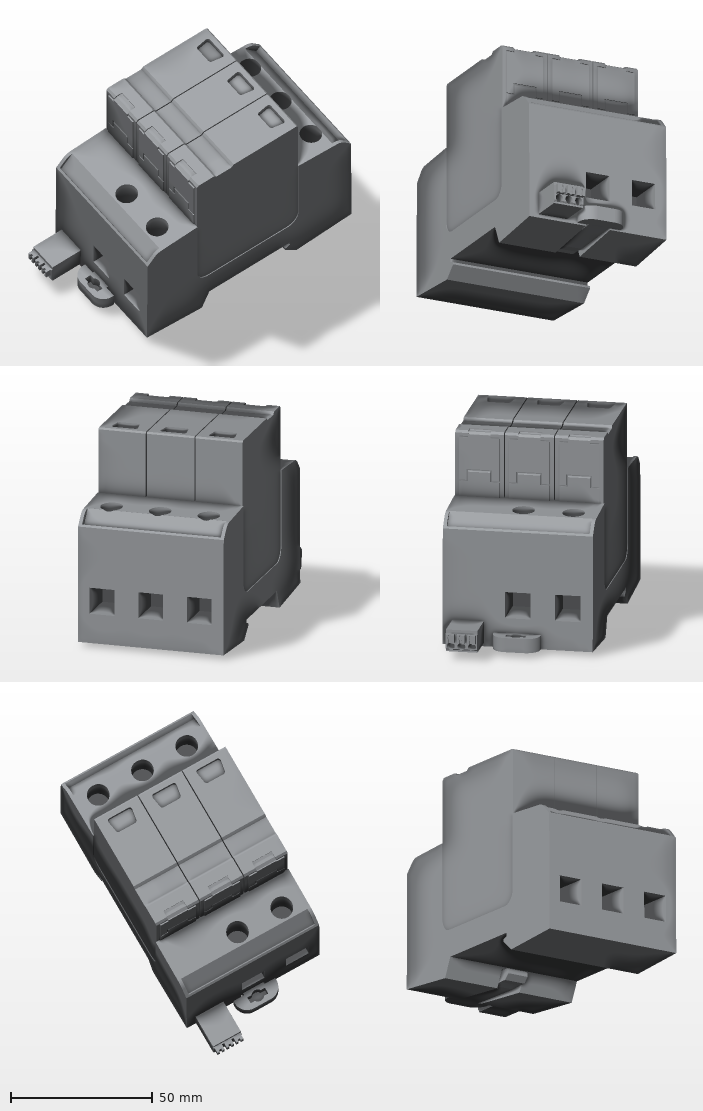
import cadquery as cq

HOUSING_WIDTH = 54.0
HOUSING_HALF_DEPTH = 45.15
SHOULDER_HALF_DEPTH = 44.85
END_WALL_BOTTOM_Z = 1.9
SHOULDER_Z = 44.5
CHAMFER_TOP_Y = 40.5
CHAMFER_TOP_Z = 49.1
CHAMFER_BLEND_RADIUS = 5.0
PLUG_SHELF_Z = 50.2

RAIL_SEAT_Z = 7.1
FRONT_LEG_Y = -20.9
FRONT_LEG_TOP_Y = -17.6
REAR_LEG_Y = 20.8
REAR_LEG_Z = 0.2
HOOK_TIP_Y = 15.85
HOOK_TIP_LOW_Z = 4.3
HOOK_TIP_HIGH_Z = 5.1
HOOK_ROOT_Y = 17.9
HOOK_ROOT_Z = 5.8

LABEL_HALF_WIDTH = 25.7
LABEL_OUTER_Y = 44.2
CHAMFER_SLOPE = (CHAMFER_TOP_Z - SHOULDER_Z) / (SHOULDER_HALF_DEPTH - CHAMFER_TOP_Y)
LABEL_OUTER_Z = SHOULDER_Z + CHAMFER_SLOPE * (SHOULDER_HALF_DEPTH - LABEL_OUTER_Y)
LABEL_TOP_Z = 49.22
FRONT_LABEL_TOP_Y = 38.7
FRONT_LABEL_FOOT = (43.6, 44.2)
REAR_LABEL_TOP_Y = 37.5
REAR_LABEL_FOOT = (42.4, 43.9)

POLE_PITCH = 18.0
POLE_XS = [-POLE_PITCH, 0, POLE_PITCH]
FRONT_TERMINAL_XS = POLE_XS[1:]

SCREW_HOLE_DIAMETER = 8.0
SCREW_HOLE_Y = 33.9
SCREW_HOLE_DEPTH = 15.0
WIRE_WINDOW_WIDTH = 9.2
WIRE_WINDOW_HEIGHT = 9.6
WIRE_WINDOW_Z = 17.5
WIRE_WINDOW_DEPTH = 15.0

TOP_Z = 74.24
PLUG_FRONT_Y = -22.9
PLUG_REAR_Y = 21.7
PLUG_BOTTOM_Z = 17.2
PLUG_BOTTOM_RADIUS = 5.0
PLUG_SIDE_INSET = 0.3
PLUG_FRONT_CHAMFER = 0.8
PLUG_REAR_CHAMFER = 0.6
PLUG_GAP = 0.4
TROUGH_REAR_Y = -6.6
TROUGH_FRONT_Y = -15.3
TROUGH_DEPTH = 1.0

POCKET_REAR_Y = 19.2
POCKET_FRONT_Y = 13.2
POCKET_REAR_HALF_WIDTH = 5.0
POCKET_FRONT_HALF_WIDTH = 4.0
POCKET_CORNER_RADIUS = 1.0
POCKET_DEPTH = 2.0

PANEL_HALF_WIDTH = 7.2
PANEL_HEIGHT_ABOVE_FRAME = 0.35
PANEL_TOP_Z = 71.9
PANEL_TAB_HALF_WIDTH = 4.0
PANEL_TAB_TOP_Z = 73.05
PANEL_GROOVE = 0.45
SPLIT_LOW_Z = 55.8
SPLIT_HIGH_Z = 59.8
SPLIT_TAB_HALF_WIDTH = 4.1
SPLIT_CHAMFER = 0.5
NOTCH_REAR_Y = -19.6
NOTCH_SLOPE_LENGTH = 1.0
NOTCH_REAR_WALL_Z = 73.95
NOTCH_FLOOR_Z = 73.75
NOTCH_LIP_Y = -21.8

LATCH_SLOT_HALF_WIDTH = 4.75
LATCH_HALF_WIDTH = 4.1
LATCH_BOTTOM_Z = 2.2
LATCH_BELLY_Z = 1.8
LATCH_BELLY_Y = -24.0
LATCH_HEEL_Y = -19.7
LATCH_TOP_Z = 6.2
LATCH_NOSE_Y = -14.9
LATCH_NOSE_UNDERCUT = 2.0
LATCH_NOSE_CHAMFER = 0.7
LATCH_NECK_OVERLAP = 1.0
TAB_TOP_Z = 7.4
TAB_HALF_WIDTH = 8.5
TAB_REAR_Y = -45.9
TAB_FRONT_Y = -51.8
TAB_RADIUS = 5.0
TAB_HOLE_Y = -48.4
TAB_HOLE_DIAMETER = 4.4
TAB_HOLE_SLOT_LENGTH = 7.2
TAB_HOLE_SLOT_WIDTH = 2.4
TAB_HOLE_DEPTH = 4.0

CONNECTOR_X = -17.78
CONNECTOR_WIDTH = 11.3
CONNECTOR_TOP_Z = 11.2
CONNECTOR_BOTTOM_Z = 3.2
CONNECTOR_FRONT_Y = -57.6
NOSE_FRONT_Y = -58.1
NOSE_BOTTOM_Z = 3.85
NOSE_CHAMFER = 0.45
CONTACT_PITCH = 3.81
OVERALL_DEPTH = 105.22
BUTTON_FRONT_Y = HOUSING_HALF_DEPTH - OVERALL_DEPTH
BUTTON_WIDTH = 2.9
BUTTON_TOP_Z = 9.9
BUTTON_BOTTOM_Z = 6.8
BUTTON_SLOT_WIDTH = 0.9
BUTTON_SLOT_DEPTH = 0.7
BUTTON_DIMPLE_DIAMETER = 1.5
BUTTON_DIMPLE_Z = 8.8
WIRE_HOLE_DIAMETER = 2.8
WIRE_HOLE_Z = 5.3
WIRE_HOLE_DEPTH = 5.0


def box(x_min, x_max, y_min, y_max, z_min, z_max):
    size = (x_max - x_min, y_max - y_min, z_max - z_min)
    return cq.Workplane("XY").box(*size, centered=False).translate((x_min, y_min, z_min))


def side_prism(points, half_width, x=0.0):
    """Extrude a closed (y, z) outline along X, centred on the given x."""
    outline = cq.Workplane("YZ", origin=(x, 0, 0)).polyline(points).close()
    return outline.extrude(half_width, both=True)


def front_prism(points, y_front, y_rear, x=0.0):
    """Extrude a closed (x, z) outline along Y between two depths."""
    outline = cq.Workplane("XZ", origin=(x, y_rear, 0)).polyline(points).close()
    return outline.extrude(y_rear - y_front)


def front_cylinder(x, z, diameter, y_front, y_rear):
    return cq.Workplane("XZ", origin=(x, y_rear, z)).circle(diameter / 2).extrude(y_rear - y_front)


def make_housing():
    points = [
        (-HOUSING_HALF_DEPTH, END_WALL_BOTTOM_Z),
        (FRONT_LEG_Y, 0),
        (FRONT_LEG_TOP_Y, RAIL_SEAT_Z),
        (HOOK_ROOT_Y, RAIL_SEAT_Z),
        (HOOK_ROOT_Y, HOOK_ROOT_Z),
        (HOOK_TIP_Y, HOOK_TIP_HIGH_Z),
        (HOOK_TIP_Y, HOOK_TIP_LOW_Z),
        (REAR_LEG_Y, REAR_LEG_Z),
        (HOUSING_HALF_DEPTH, END_WALL_BOTTOM_Z),
        (SHOULDER_HALF_DEPTH, SHOULDER_Z),
        (CHAMFER_TOP_Y, CHAMFER_TOP_Z),
        (PLUG_REAR_Y, PLUG_SHELF_Z),
        (PLUG_FRONT_Y, PLUG_SHELF_Z),
        (-CHAMFER_TOP_Y, CHAMFER_TOP_Z),
        (-SHOULDER_HALF_DEPTH, SHOULDER_Z),
    ]
    housing = side_prism(points, HOUSING_WIDTH / 2)
    for side in (-1, 1):
        corner = cq.selectors.NearestToPointSelector((0, side * CHAMFER_TOP_Y, CHAMFER_TOP_Z))
        housing = housing.edges(corner).fillet(CHAMFER_BLEND_RADIUS)
    return housing


def label_recess(side, top_y, foot):
    """Cutter for a label recess; side is -1 for the front shoulder and +1 for the rear."""
    points = [
        (side * top_y, LABEL_TOP_Z),
        (side * foot[0], foot[1]),
        (side * LABEL_OUTER_Y, LABEL_OUTER_Z),
        (side * LABEL_OUTER_Y, PLUG_SHELF_Z),
        (side * top_y, PLUG_SHELF_Z),
    ]
    return side_prism(points, LABEL_HALF_WIDTH)


def terminal_openings(side, xs):
    """Screw holes from above and wire windows in the end wall for one row of terminals."""
    hole_floor_z = PLUG_SHELF_Z - SCREW_HOLE_DEPTH
    holes = (
        cq.Workplane("XY", origin=(0, side * SCREW_HOLE_Y, hole_floor_z))
        .pushPoints([(x, 0) for x in xs])
        .circle(SCREW_HOLE_DIAMETER / 2)
        .extrude(SCREW_HOLE_DEPTH)
    )
    window_y = side * (HOUSING_HALF_DEPTH - WIRE_WINDOW_DEPTH / 2)
    windows = (
        cq.Workplane("XY", origin=(0, window_y, WIRE_WINDOW_Z))
        .pushPoints([(x, 0) for x in xs])
        .rect(WIRE_WINDOW_WIDTH, WIRE_WINDOW_DEPTH)
        .extrude(WIRE_WINDOW_HEIGHT / 2, both=True)
    )
    return holes.union(windows)


def plug_envelope(half_width):
    """Block with rounded lower corners that spans all the modules."""
    block = box(-half_width, half_width, PLUG_FRONT_Y, PLUG_REAR_Y, PLUG_BOTTOM_Z, TOP_Z)
    return block.edges("|X and <Z").fillet(PLUG_BOTTOM_RADIUS)


def make_plug_block():
    block = plug_envelope(HOUSING_WIDTH / 2 - PLUG_SIDE_INSET)
    block = block.edges("|X and >Z and <Y").chamfer(PLUG_FRONT_CHAMFER)
    block = block.edges("|X and >Z and >Y").chamfer(PLUG_REAR_CHAMFER)
    trough_floor_z = TOP_Z - TROUGH_DEPTH
    trough = [
        (TROUGH_REAR_Y, TOP_Z),
        (TROUGH_REAR_Y - TROUGH_DEPTH, trough_floor_z),
        (TROUGH_FRONT_Y + TROUGH_DEPTH, trough_floor_z),
        (TROUGH_FRONT_Y, TOP_Z),
    ]
    return block.cut(side_prism(trough, HOUSING_WIDTH / 2))


def module_gap(x):
    half_gap = PLUG_GAP / 2
    return box(x - half_gap, x + half_gap, PLUG_FRONT_Y, PLUG_REAR_Y, PLUG_SHELF_Z, TOP_Z)


def top_pocket(x):
    points = [
        (-POCKET_REAR_HALF_WIDTH, POCKET_REAR_Y),
        (POCKET_REAR_HALF_WIDTH, POCKET_REAR_Y),
        (POCKET_FRONT_HALF_WIDTH, POCKET_FRONT_Y),
        (-POCKET_FRONT_HALF_WIDTH, POCKET_FRONT_Y),
    ]
    pocket = cq.Workplane("XY", origin=(x, 0, TOP_Z - POCKET_DEPTH)).polyline(points).close()
    return pocket.extrude(POCKET_DEPTH).edges("|Z").fillet(POCKET_CORNER_RADIUS)


def finger_notch(x):
    """Shallow notch whose floor slopes down to the panel at the top front edge of a module."""
    points = [
        (NOTCH_REAR_Y, TOP_Z),
        (NOTCH_REAR_Y, NOTCH_REAR_WALL_Z),
        (NOTCH_REAR_Y - NOTCH_SLOPE_LENGTH, NOTCH_FLOOR_Z),
        (NOTCH_LIP_Y, NOTCH_FLOOR_Z),
        (PLUG_FRONT_Y, PANEL_TAB_TOP_Z),
        (PLUG_FRONT_Y, TOP_Z),
    ]
    return side_prism(points, PANEL_TAB_HALF_WIDTH, x)


def stepped_outline(half_width, low_z, tab_half_width, high_z, bottom_z):
    """Closed (x, z) outline of a plate with a raised tab in the middle of its top edge."""
    return [
        (-half_width, bottom_z),
        (half_width, bottom_z),
        (half_width, low_z),
        (tab_half_width, low_z),
        (tab_half_width, high_z),
        (-tab_half_width, high_z),
        (-tab_half_width, low_z),
        (-half_width, low_z),
    ]


def front_panel(x):
    """Raised two-part panel; a stepped groove separates its upper and lower plates."""
    face_y = PLUG_FRONT_Y - PANEL_HEIGHT_ABOVE_FRAME
    whole = stepped_outline(
        PANEL_HALF_WIDTH, PANEL_TOP_Z, PANEL_TAB_HALF_WIDTH, PANEL_TAB_TOP_Z, PLUG_SHELF_Z
    )
    lower = stepped_outline(
        PANEL_HALF_WIDTH, SPLIT_LOW_Z, SPLIT_TAB_HALF_WIDTH, SPLIT_HIGH_Z, PLUG_SHELF_Z
    )
    opening = stepped_outline(
        PANEL_HALF_WIDTH,
        SPLIT_LOW_Z + PANEL_GROOVE,
        SPLIT_TAB_HALF_WIDTH + PANEL_GROOVE,
        SPLIT_HIGH_Z + PANEL_GROOVE,
        PLUG_SHELF_Z,
    )
    upper_plate = front_prism(whole, face_y, PLUG_FRONT_Y, x)
    upper_plate = upper_plate.cut(front_prism(opening, face_y, PLUG_FRONT_Y, x))
    lower_plate = front_prism(lower, face_y, PLUG_FRONT_Y, x)
    bevel = [
        (face_y, SPLIT_HIGH_Z),
        (PLUG_FRONT_Y, SPLIT_HIGH_Z),
        (face_y, SPLIT_HIGH_Z - SPLIT_CHAMFER),
    ]
    lower_plate = lower_plate.cut(side_prism(bevel, SPLIT_TAB_HALF_WIDTH, x))
    return upper_plate.union(lower_plate)


def panel_shoulder_groove(x, side):
    """Groove in the module frame just above one shoulder of the panel."""
    inner_x = x + side * PANEL_TAB_HALF_WIDTH
    outer_x = x + side * PANEL_HALF_WIDTH
    return box(
        min(inner_x, outer_x),
        max(inner_x, outer_x),
        PLUG_FRONT_Y,
        PLUG_FRONT_Y + PANEL_HEIGHT_ABOVE_FRAME,
        PANEL_TOP_Z,
        PANEL_TOP_Z + PANEL_GROOVE,
    )


def latch_slot():
    half = LATCH_SLOT_HALF_WIDTH
    return box(-half, half, -HOUSING_HALF_DEPTH, FRONT_LEG_TOP_Y, 0, LATCH_TOP_Z)


def make_latch():
    """Slider with a bevelled nose over the rail seat and a pull tab in front."""
    nose_mid_z = (LATCH_TOP_Z + LATCH_BOTTOM_Z) / 2
    slider = (
        cq.Workplane("YZ")
        .moveTo(TAB_REAR_Y, LATCH_BOTTOM_Z)
        .lineTo(LATCH_BELLY_Y, LATCH_BELLY_Z)
        .lineTo(LATCH_HEEL_Y, LATCH_BOTTOM_Z)
        .lineTo(LATCH_NOSE_Y - LATCH_NOSE_UNDERCUT, LATCH_BOTTOM_Z)
        .lineTo(LATCH_NOSE_Y, nose_mid_z)
        .lineTo(LATCH_NOSE_Y, LATCH_TOP_Z - LATCH_NOSE_CHAMFER)
        .lineTo(LATCH_NOSE_Y - LATCH_NOSE_CHAMFER, LATCH_TOP_Z)
        .lineTo(TAB_REAR_Y, LATCH_TOP_Z)
        .close()
        .extrude(LATCH_HALF_WIDTH, both=True)
    )
    neck = box(
        -LATCH_HALF_WIDTH, LATCH_HALF_WIDTH,
        TAB_REAR_Y, -HOUSING_HALF_DEPTH + LATCH_NECK_OVERLAP,
        LATCH_BOTTOM_Z, TAB_TOP_Z,
    )
    tab = box(-TAB_HALF_WIDTH, TAB_HALF_WIDTH, TAB_FRONT_Y, TAB_REAR_Y, LATCH_BOTTOM_Z, TAB_TOP_Z)
    tab = tab.edges("|Z and <Y").fillet(TAB_RADIUS)
    hole_plane = cq.Workplane("XY", origin=(0, TAB_HOLE_Y, TAB_TOP_Z - TAB_HOLE_DEPTH))
    hole = hole_plane.circle(TAB_HOLE_DIAMETER / 2).extrude(TAB_HOLE_DEPTH)
    slot = hole_plane.rect(TAB_HOLE_SLOT_LENGTH, TAB_HOLE_SLOT_WIDTH).extrude(TAB_HOLE_DEPTH)
    return slider.union(neck).union(tab).cut(hole).cut(slot)


def contact_button(x):
    """Release button with a screwdriver slot and a round dimple in its end face."""
    half = BUTTON_WIDTH / 2
    button = box(x - half, x + half, BUTTON_FRONT_Y, NOSE_FRONT_Y, BUTTON_BOTTOM_Z, BUTTON_TOP_Z)
    floor_y = BUTTON_FRONT_Y + BUTTON_SLOT_DEPTH
    half_slot = BUTTON_SLOT_WIDTH / 2
    slot = box(
        x - half_slot, x + half_slot, BUTTON_FRONT_Y, floor_y, BUTTON_BOTTOM_Z, BUTTON_TOP_Z
    )
    dimple = front_cylinder(x, BUTTON_DIMPLE_Z, BUTTON_DIMPLE_DIAMETER, BUTTON_FRONT_Y, floor_y)
    return button.cut(slot).cut(dimple)


def make_connector():
    half = CONNECTOR_WIDTH / 2
    x_min = CONNECTOR_X - half
    x_max = CONNECTOR_X + half
    body = box(
        x_min, x_max,
        CONNECTOR_FRONT_Y, -SHOULDER_HALF_DEPTH,
        CONNECTOR_BOTTOM_Z, CONNECTOR_TOP_Z,
    )
    nose = box(x_min, x_max, NOSE_FRONT_Y, CONNECTOR_FRONT_Y, NOSE_BOTTOM_Z, BUTTON_TOP_Z)
    nose = nose.edges("|X and <Y and <Z").chamfer(NOSE_CHAMFER)
    connector = body.union(nose)
    for step in (-1, 0, 1):
        x = CONNECTOR_X + step * CONTACT_PITCH
        wire_hole = front_cylinder(
            x, WIRE_HOLE_Z, WIRE_HOLE_DIAMETER, NOSE_FRONT_Y, NOSE_FRONT_Y + WIRE_HOLE_DEPTH
        )
        connector = connector.union(contact_button(x)).cut(wire_hole)
    return connector


def make_part():
    part = make_housing()
    part = part.cut(label_recess(-1, FRONT_LABEL_TOP_Y, FRONT_LABEL_FOOT))
    part = part.cut(label_recess(1, REAR_LABEL_TOP_Y, REAR_LABEL_FOOT))
    part = part.cut(terminal_openings(-1, FRONT_TERMINAL_XS))
    part = part.cut(terminal_openings(1, POLE_XS))

    part = part.cut(plug_envelope(HOUSING_WIDTH / 2))
    part = part.union(make_plug_block())
    for x in (-POLE_PITCH / 2, POLE_PITCH / 2):
        part = part.cut(module_gap(x))
    for x in POLE_XS:
        part = part.cut(top_pocket(x))
        part = part.cut(finger_notch(x))
        for side in (-1, 1):
            part = part.cut(panel_shoulder_groove(x, side))
        part = part.union(front_panel(x))

    part = part.cut(latch_slot())
    part = part.union(make_latch())
    return part.union(make_connector())


result = make_part()